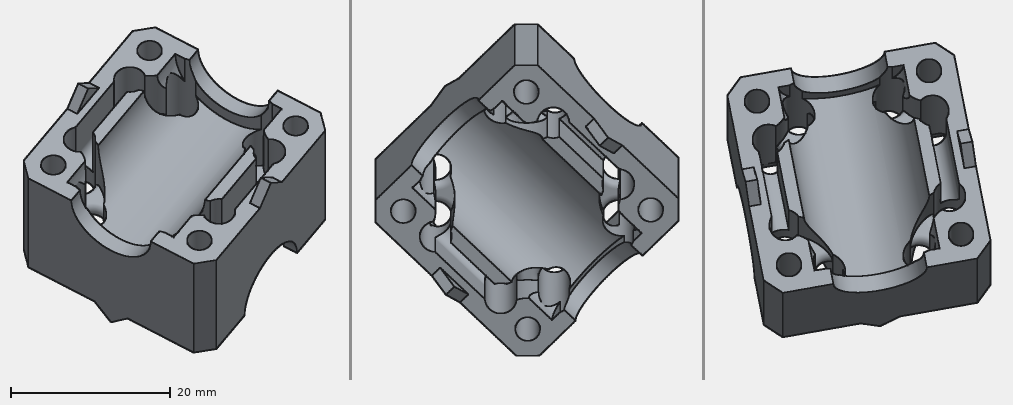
import cadquery as cq
import math

width = 29.0
height = 18.0
corner_chamfer = 2.05
half_width = width / 2
top = height / 2

overall_height = 23.0
tab_height = (overall_height - height) / 2
tab_thickness = 1.5

opening_radius = 5.97
seat_radius = 8.0
seat_length = 24.65

screw_diameter = 3.1
screw_offset = 11.0
ball_hole_radius = 2.0
ball_hole_near = 5.75
ball_hole_far = 10.5

web_thickness = 2.0
slot_floor = web_thickness / 2
slot_depth = top - slot_floor
groove_inner = 9.72
groove_outer = 11.98
groove_fillet = 2.1
bend_width = 2.4
web_rounding = web_thickness / 2

signs = (-1, 1)
corners = [(sx, sy) for sx in signs for sy in signs]


def make_block():
    """Square block with chamfered upright edges."""
    return cq.Workplane("XY").box(width, width, height).edges("|Z").chamfer(corner_chamfer)


def make_tabs():
    """Two triangular tabs on the top face, at the middle of the X sides."""
    profile = (
        cq.Workplane("YZ")
        .moveTo(-tab_height, top)
        .lineTo(0, top + tab_height)
        .lineTo(tab_height, top)
        .close()
        .extrude(tab_thickness)
    )
    right = profile.translate((half_width - tab_thickness, 0, 0))
    return right.union(profile.translate((-half_width, 0, 0)))


def make_bore():
    """Stepped bore along Y with its axis in the top face."""
    opening = cq.Workplane("XZ", origin=(0, half_width, top)).circle(opening_radius).extrude(width)
    seat = cq.Workplane("XZ", origin=(0, seat_length / 2, top)).circle(seat_radius).extrude(seat_length)
    return opening.union(seat)


def make_groove(side):
    """Straight ball groove along Y, its floor rounded into the outer wall."""
    profile = (
        cq.Workplane("XZ", origin=(0, ball_hole_near, 0))
        .moveTo(side * groove_inner, top)
        .lineTo(side * groove_inner, slot_floor)
        .lineTo(side * (groove_outer - groove_fillet), slot_floor)
        .radiusArc((side * groove_outer, slot_floor + groove_fillet), -side * groove_fillet)
        .lineTo(side * groove_outer, top)
        .close()
    )
    return profile.extrude(2 * ball_hole_near)


def make_rounding(x, y):
    """Ring that rounds the slot floor over into a ball hole at (x, y)."""
    crest_radius = ball_hole_radius + web_rounding
    return (
        cq.Workplane("XZ", origin=(x, y, 0))
        .moveTo(0, slot_floor)
        .lineTo(crest_radius, slot_floor)
        .radiusArc((ball_hole_radius, slot_floor - web_rounding), -web_rounding)
        .lineTo(0, slot_floor - web_rounding)
        .close()
        .revolve(360, (0, 0, 0), (0, 1, 0))
    )


def make_bend_slot():
    """Curved slot around the +X +Y screw hole that joins the two ball holes there."""
    to_far = screw_offset - ball_hole_far
    to_near = screw_offset - ball_hole_near
    bend_radius = math.hypot(to_far, to_near)
    inner = bend_radius - bend_width / 2
    outer = bend_radius + bend_width / 2
    ux = to_far / bend_radius
    uy = to_near / bend_radius
    diagonal = math.sqrt(0.5)

    def at(radius, dx, dy):
        """Point at a distance from the screw axis, measured towards the block centre."""
        return (screw_offset - radius * dx, screw_offset - radius * dy)

    sector = (
        cq.Workplane("XY", origin=(0, 0, slot_floor - web_rounding))
        .moveTo(*at(inner, ux, uy))
        .threePointArc(at(inner, diagonal, diagonal), at(inner, uy, ux))
        .lineTo(*at(outer, uy, ux))
        .threePointArc(at(outer, diagonal, diagonal), at(outer, ux, uy))
        .close()
    )
    column = sector.extrude(slot_depth + web_rounding)
    floor_plane = cq.Workplane("XY", origin=(0, 0, slot_floor))
    above_floor = floor_plane.rect(width, width).extrude(slot_depth)
    opened = column.intersect(above_floor)
    for x, y in ((ball_hole_far, ball_hole_near), (ball_hole_near, ball_hole_far)):
        opened = opened.union(column.intersect(make_rounding(x, y)))
    return opened


def make_through_holes():
    """Screw holes and ball holes at all four corners."""
    base = cq.Workplane("XY", origin=(0, 0, -top))
    screw_points = [(sx * screw_offset, sy * screw_offset) for sx, sy in corners]
    ball_points = []
    for sx, sy in corners:
        ball_points.append((sx * ball_hole_far, sy * ball_hole_near))
        ball_points.append((sx * ball_hole_near, sy * ball_hole_far))
    screws = base.pushPoints(screw_points).circle(screw_diameter / 2).extrude(height)
    balls = base.pushPoints(ball_points).circle(ball_hole_radius).extrude(height)
    return screws, balls


def flip(shape):
    """Turn a top feature into the matching bottom one: swap X and Y and reverse Z."""
    return shape.rotate((0, 0, 0), (1, 1, 0), 180)


top_cuts = [make_bore()] + [make_groove(side) for side in signs]
bend_slot = make_bend_slot()
top_cuts += [bend_slot.rotate((0, 0, 0), (0, 0, 1), 90 * turn) for turn in range(4)]

tabs = make_tabs()
result = make_block().union(tabs).union(flip(tabs))
for cut in top_cuts:
    result = result.cut(cut).cut(flip(cut))
for holes in make_through_holes():
    result = result.cut(holes)